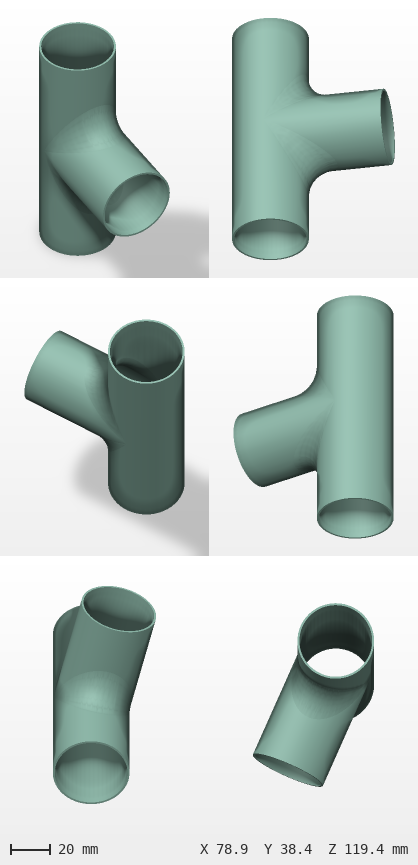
import cadquery as cq
import math

OUTER_DIAMETER = 38.4
WALL = 1.0
RUN_LENGTH = 119.4
BRANCH_LENGTH = RUN_LENGTH / 2
CROTCH_RADIUS = 15.0

OUTER_RADIUS = OUTER_DIAMETER / 2
INNER_RADIUS = OUTER_RADIUS - WALL

BLEND_SECTIONS = 9

ORIGIN = cq.Vector(0, 0, 0)
Y_AXIS = cq.Vector(0, 1, 0)


def half_ellipse(pipe_radius, tip):
    """Half ellipse in the plane holding the Y axis and the tip, running between the points at +/-Y."""
    return cq.Edge.makeEllipse(
        tip.Length, pipe_radius, ORIGIN, tip.cross(Y_AXIS), tip, angle1=270, angle2=90
    )


def crotch_blend(pipe_radius, blend_radius):
    """Solid filling the upper crotch, under a fillet that shrinks to nothing at +/-Y.

    At every Y the profile is the one at Y = 0 scaled down with the pipe's half width, so
    each plane through the Y axis cuts the skin in half an ellipse.
    """
    arc_centre = pipe_radius + blend_radius
    sections = []
    for index in range(BLEND_SECTIONS):
        angle = math.pi + math.pi / 2 * index / (BLEND_SECTIONS - 1)
        tip_x = arc_centre + blend_radius * math.cos(angle)
        tip_z = arc_centre + blend_radius * math.sin(angle)
        sections.append(half_ellipse(pipe_radius, cq.Vector(tip_x, 0, tip_z)))

    section_wires = [cq.Wire.assembleEdges([section]) for section in sections]
    skin = cq.occ_impl.shapes.loft(*section_wires)
    diameter = cq.Edge.makeLine(Y_AXIS * pipe_radius, Y_AXIS * -pipe_radius)
    run_face, branch_face = [
        cq.Face.makeFromWires(cq.Wire.assembleEdges([section, diameter]))
        for section in (sections[0], sections[-1])
    ]
    return cq.occ_impl.shapes.solid(*skin.Faces(), run_face, branch_face)


def side_wedge(slope, reach):
    """Prism along Y that holds the region abs(Z) < slope * X out to X = reach."""
    half_height = slope * reach
    return (
        cq.Workplane("XZ")
        .polyline([(0, 0), (reach, half_height), (reach, -half_height)])
        .close()
        .extrude(OUTER_DIAMETER, both=True)
    )


def tee_body(pipe_radius, blend_radius):
    """Solid tee: run and branch cut back to the planes where the two crotch blends start."""
    run_slope = (pipe_radius + blend_radius) / pipe_radius
    run = (
        cq.Workplane("XY")
        .circle(pipe_radius)
        .extrude(RUN_LENGTH / 2, both=True)
        .cut(side_wedge(run_slope, OUTER_DIAMETER))
    )
    branch = (
        cq.Workplane("YZ")
        .circle(pipe_radius)
        .extrude(BRANCH_LENGTH)
        .intersect(side_wedge(1 / run_slope, RUN_LENGTH))
    )
    upper_blend = crotch_blend(pipe_radius, blend_radius)
    lower_blend = upper_blend.mirror("XY")
    return run.union(branch).union(cq.Workplane(upper_blend)).union(cq.Workplane(lower_blend))


outside = tee_body(OUTER_RADIUS, CROTCH_RADIUS)
bore = tee_body(INNER_RADIUS, CROTCH_RADIUS + WALL)
result = outside.cut(bore)